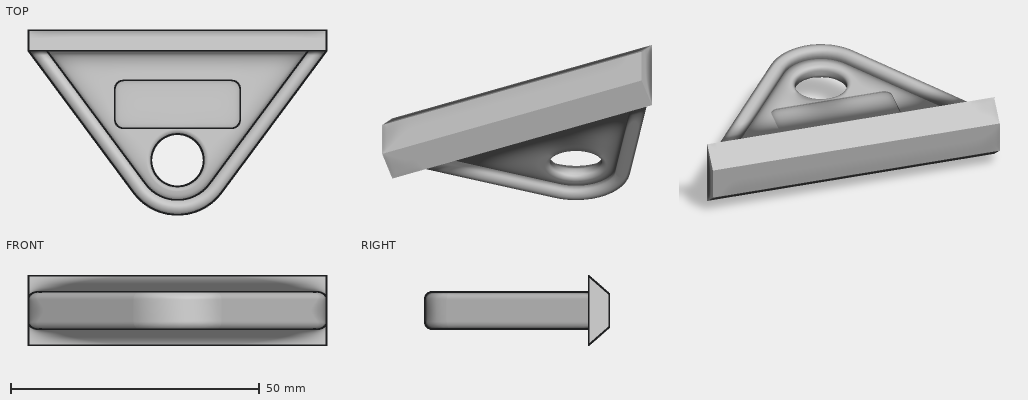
import cadquery as cq
import math

RAIL_LENGTH = 60.0
RAIL_DEPTH = 4.16
RAIL_FACE_HEIGHT = 14.0
RAIL_BACK_HEIGHT = 6.7

TIP_RADIUS = 11.0
TIP_CENTER_Y = -22.0
RIM_HEIGHT = 7.5
RIM_WIDTH = 3.0
RIM_RADIUS = RIM_WIDTH / 2
WEB_THICKNESS = 3.0

HOLE_DIAMETER = 10.5
HOLE_EDGE_RADIUS = 1.0

RECESS_LENGTH = 25.2
RECESS_WIDTH = 9.6
RECESS_CENTER_Y = -10.75
RECESS_CORNER_RADIUS = 1.7
RECESS_DEPTH = 0.3

CORNER_X = RAIL_LENGTH / 2
CORNER_DISTANCE = math.hypot(CORNER_X, TIP_CENTER_Y)
SIDE_NORMAL_ANGLE = math.atan2(-TIP_CENTER_Y, CORNER_X) - math.acos(TIP_RADIUS / CORNER_DISTANCE)
NORMAL_X = math.cos(SIDE_NORMAL_ANGLE)
NORMAL_Y = math.sin(SIDE_NORMAL_ANGLE)

RIM_LINE_RADIUS = TIP_RADIUS - RIM_RADIUS
TANGENT_X = RIM_LINE_RADIUS * NORMAL_X
TANGENT_Y = TIP_CENTER_Y + RIM_LINE_RADIUS * NORMAL_Y
RIM_END_Y = RIM_WIDTH
RIM_END_X = TANGENT_X - (RIM_END_Y - TANGENT_Y) * NORMAL_Y / NORMAL_X


def rim_line():
    """Open centre line of the rim: side, tip arc, side."""
    return (
        cq.Workplane("XY")
        .moveTo(-RIM_END_X, RIM_END_Y)
        .lineTo(-TANGENT_X, TANGENT_Y)
        .threePointArc((0, TIP_CENTER_Y - RIM_LINE_RADIUS), (TANGENT_X, TANGENT_Y))
        .lineTo(RIM_END_X, RIM_END_Y)
    )


def make_rail():
    return (
        cq.Workplane("YZ")
        .moveTo(0, -RAIL_FACE_HEIGHT / 2)
        .lineTo(RAIL_DEPTH, -RAIL_BACK_HEIGHT / 2)
        .lineTo(RAIL_DEPTH, RAIL_BACK_HEIGHT / 2)
        .lineTo(0, RAIL_FACE_HEIGHT / 2)
        .close()
        .extrude(RAIL_LENGTH / 2, both=True)
    )


def make_rim():
    """Full-round section, taller than wide, swept along the rim centre line."""
    section_plane = cq.Plane(
        origin=(-RIM_END_X, RIM_END_Y, 0),
        xDir=(NORMAL_X, -NORMAL_Y, 0),
        normal=(-NORMAL_Y, -NORMAL_X, 0),
    )
    return cq.Workplane(section_plane).slot2D(RIM_HEIGHT, RIM_WIDTH, 90).sweep(rim_line())


def make_web():
    return rim_line().close().extrude(WEB_THICKNESS / 2, both=True)


def make_plate():
    """Rim and web trimmed flush with the rail's wide face."""
    trim_depth = TIP_RADIUS - TIP_CENTER_Y
    trim = cq.Workplane("XY").box(RAIL_LENGTH, trim_depth, RIM_HEIGHT).translate((0, -trim_depth / 2, 0))
    return make_rim().union(make_web()).intersect(trim)


def make_hole_cutter():
    """Cylinder flaring at both web faces, leaving rounded hole edges."""
    hole_radius = HOLE_DIAMETER / 2
    flare_radius = hole_radius + HOLE_EDGE_RADIUS
    face_z = WEB_THICKNESS / 2
    straight_z = face_z - HOLE_EDGE_RADIUS
    arc_offset = HOLE_EDGE_RADIUS * math.sqrt(0.5)
    arc_mid_radius = flare_radius - arc_offset
    arc_mid_z = straight_z + arc_offset
    return (
        cq.Workplane("XZ")
        .moveTo(0, -face_z)
        .lineTo(flare_radius, -face_z)
        .threePointArc((arc_mid_radius, -arc_mid_z), (hole_radius, -straight_z))
        .lineTo(hole_radius, straight_z)
        .threePointArc((arc_mid_radius, arc_mid_z), (flare_radius, face_z))
        .lineTo(0, face_z)
        .close()
        .revolve(360, (0, 0), (0, 1))
        .translate((0, TIP_CENTER_Y, 0))
    )


def make_recess_cutter():
    return (
        cq.Workplane("XY", origin=(0, RECESS_CENTER_Y, WEB_THICKNESS / 2))
        .rect(RECESS_LENGTH, RECESS_WIDTH)
        .extrude(-RECESS_DEPTH)
        .edges("|Z")
        .fillet(RECESS_CORNER_RADIUS)
    )


result = make_rail().union(make_plate()).cut(make_hole_cutter()).cut(make_recess_cutter())